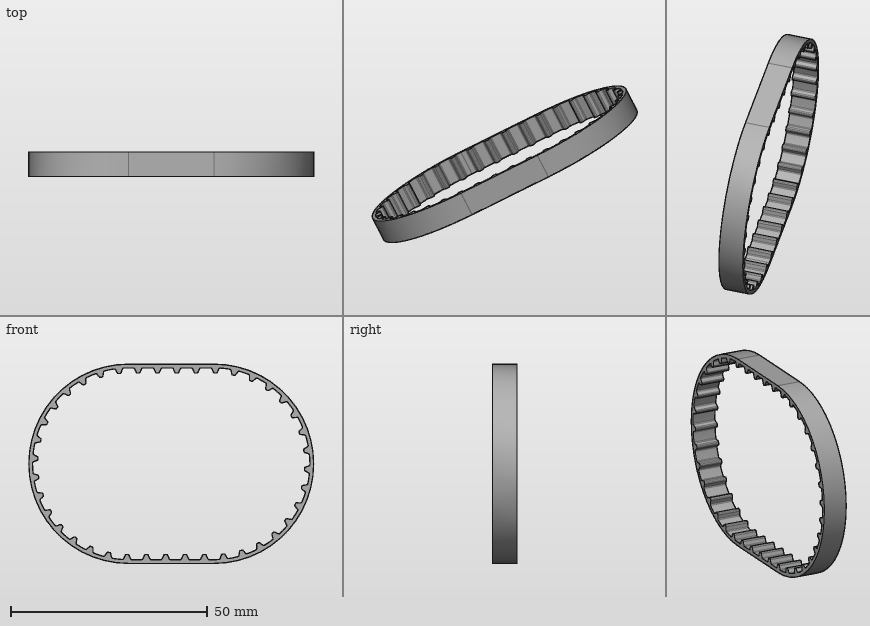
import cadquery as cq
import math

loop_length = 72.6
belt_width = 6.3
loop_height = 50.8

band_thickness = 1.0
outer_radius = loop_height / 2
inner_radius = outer_radius - band_thickness
straight_length = loop_length - loop_height
half_straight = straight_length / 2
inner_half_turn = math.pi * inner_radius

tooth_count = 40
tooth_height = 1.3
tooth_root_width = 2.0
flank_angle = 25.0
root_fillet = 0.3
tip_fillet = 0.35
tooth_overlap = band_thickness / 2
inner_perimeter = 2 * (straight_length + inner_half_turn)
tooth_pitch = inner_perimeter / tooth_count
tooth_distances = [(index + 0.5) * tooth_pitch for index in range(tooth_count)]


def loop_solid(radius):
    """Solid slot-shaped block with the given end radius, centred on the origin."""
    length = straight_length + 2 * radius
    profile = cq.Workplane("XZ").slot2D(length, 2 * radius)
    return profile.extrude(belt_width / 2, both=True)


def point_on_inner_face(distance):
    """X, Z and clockwise turn (degrees) after travelling clockwise from the left end of the top straight."""
    half_loop = straight_length + inner_half_turn
    on_return = distance >= half_loop
    travel = distance % half_loop
    if travel <= straight_length:
        x, z, turn = travel - half_straight, inner_radius, 0.0
    else:
        angle = (travel - straight_length) / inner_radius
        x = half_straight + inner_radius * math.sin(angle)
        z = inner_radius * math.cos(angle)
        turn = math.degrees(angle)
    if on_return:
        return -x, -z, turn + 180.0
    return x, z, turn


def make_tooth():
    """Tapered tooth with rounded tip, pointing to -Z from the origin."""
    root_half = tooth_root_width / 2
    tip_half = root_half - tooth_height * math.tan(math.radians(flank_angle))
    outline = [
        (-root_half, tooth_overlap),
        (-root_half, 0),
        (-tip_half, -tooth_height),
        (tip_half, -tooth_height),
        (root_half, 0),
        (root_half, tooth_overlap),
    ]
    blank = cq.Workplane("XZ").polyline(outline).close().extrude(belt_width / 2, both=True)
    tip_edges = blank.faces("<Z").edges("|Y")
    return tip_edges.fillet(tip_fillet)


def place_tooth(tooth, distance):
    """Move a tooth to its place along the inner face, pointing into the loop."""
    x, z, turn = point_on_inner_face(distance)
    turned = tooth.rotate((0, 0, 0), (0, 1, 0), turn)
    return turned.translate((x, 0, z))


def root_edges(solid):
    """Concave edges where the tooth flanks meet the band's inner face."""
    corners = []
    for distance in tooth_distances:
        x, z, turn = point_on_inner_face(distance)
        angle = math.radians(turn)
        for side in (-1, 1):
            reach = side * tooth_root_width / 2
            corners.append((x + reach * math.cos(angle), z - reach * math.sin(angle)))
    found = []
    for edge in solid.edges("|Y").vals():
        middle = edge.Center()
        if any(math.hypot(middle.x - x, middle.z - z) < root_fillet / 2 for x, z in corners):
            found.append(edge)
    return found


belt = loop_solid(outer_radius).cut(loop_solid(inner_radius))

tooth = make_tooth()
for distance in tooth_distances:
    belt = belt.union(place_tooth(tooth, distance))

result = belt.newObject(root_edges(belt)).fillet(root_fillet)